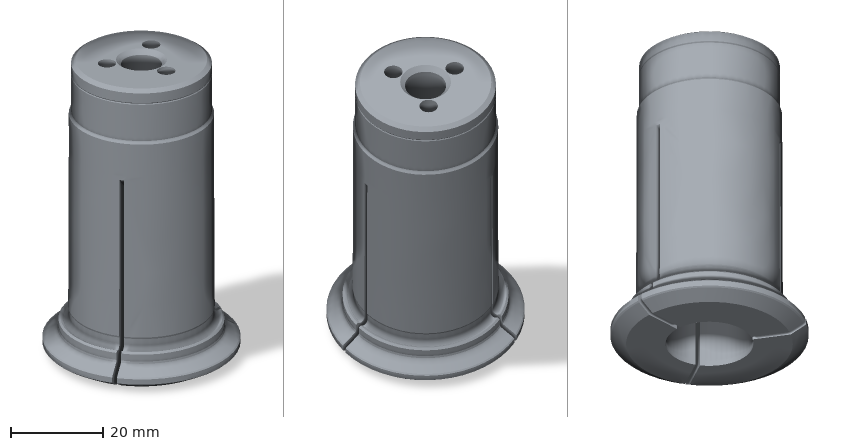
import cadquery as cq
import math

length = 70.0
flange_radius = 21.5

flange_base_radius = 18.05
flange_bevel_height = 1.8
flange_edge_break = 0.3
flange_rim_top = 3.65
collar_radius = 18.0
collar_foot = 5.95
collar_foot_flare = 0.2
collar_top = 8.05
collar_chamfer = 0.4

neck_radius = 15.75
neck_fillet = 1.1
neck_undercut = 0.35
neck_top = 10.3

body_foot = 10.7
body_foot_radius = 15.9
body_top = 57.2
body_top_radius = 15.75

spigot_radius = 30.5 / 2
spigot_foot = 57.8
groove_foot = 66.6
groove_width = 0.4
groove_depth = 0.15
top_face_radius = 28.5 / 2
top_chamfer_height = 0.7

bore_radius = 19.05 / 2
bore_top = 59.5

center_hole_diameter = 8.9
center_countersink = 1.05
countersink_angle = 90
small_hole_count = 3
small_hole_diameter = 4.0
small_hole_circle_radius = 7.7

slot_count = 3
slot_width = 1.05
slot_overrun = 0.7
slot_top = 48.3
slot_inner_top = 42.9


def revolve_profile(profile):
    """Revolve a (radius, height) outline about the Z axis."""
    return profile.close().revolve(360, (0, 0, 0), (0, 1, 0))


def outer_body():
    fillet_middle = neck_fillet * (1 - math.sqrt(0.5))
    neck_foot = collar_top - neck_undercut
    profile = (
        cq.Workplane("XZ")
        .lineTo(flange_base_radius, 0)
        .lineTo(flange_radius - flange_edge_break, flange_bevel_height)
        .lineTo(flange_radius, flange_bevel_height + flange_edge_break)
        .lineTo(flange_radius, flange_rim_top - flange_edge_break)
        .lineTo(flange_radius - flange_edge_break, flange_rim_top)
        .lineTo(collar_radius + collar_foot_flare, collar_foot - 2 * collar_foot_flare)
        .lineTo(collar_radius, collar_foot)
        .lineTo(collar_radius, collar_top - collar_chamfer)
        .lineTo(collar_radius - collar_chamfer, collar_top)
        .lineTo(neck_radius + neck_fillet, neck_foot)
        .threePointArc(
            (neck_radius + fillet_middle, neck_foot + fillet_middle),
            (neck_radius, neck_foot + neck_fillet),
        )
        .lineTo(neck_radius, neck_top)
        .lineTo(body_foot_radius, body_foot)
        .lineTo(body_top_radius, body_top)
        .lineTo(spigot_radius, spigot_foot)
        .lineTo(spigot_radius, groove_foot)
        .lineTo(spigot_radius - groove_depth, groove_foot + groove_width / 2)
        .lineTo(spigot_radius, groove_foot + groove_width)
        .lineTo(spigot_radius, length - top_chamfer_height)
        .lineTo(top_face_radius, length)
        .lineTo(0, length)
    )
    return revolve_profile(profile)


def bore():
    return cq.Workplane("XY").circle(bore_radius).extrude(bore_top)


def drill_cap(body):
    """Drill the countersunk center hole and the three small holes down into the bore."""
    drilling_depth = length - bore_top
    countersink_diameter = center_hole_diameter + 2 * center_countersink
    body = (
        body.faces(">Z").workplane(origin=(0, 0, length))
        .cskHole(center_hole_diameter, countersink_diameter, countersink_angle, drilling_depth)
    )
    return (
        body.faces(">Z").workplane(origin=(0, 0, length))
        .polarArray(small_hole_circle_radius, 0, 360, small_hole_count)
        .hole(small_hole_diameter, drilling_depth)
    )


def slots():
    """Radial slots through the wall, with sloping upper ends, the first one toward -X."""
    slope = (slot_top - slot_inner_top) / (body_top_radius - bore_radius)
    inner_reach = bore_radius - slot_overrun
    outer_reach = flange_radius + slot_overrun
    slot = (
        cq.Workplane("XZ")
        .moveTo(inner_reach, 0)
        .lineTo(outer_reach, 0)
        .lineTo(outer_reach, slot_top + slope * (outer_reach - body_top_radius))
        .lineTo(inner_reach, slot_inner_top - slope * (bore_radius - inner_reach))
        .close()
        .extrude(slot_width / 2, both=True)
    )
    cutters = cq.Workplane("XY")
    for index in range(slot_count):
        angle = 180 + index * 360 / slot_count
        cutters = cutters.add(slot.rotate((0, 0, 0), (0, 0, 1), angle))
    return cutters.combine()


result = drill_cap(outer_body().cut(bore())).cut(slots())